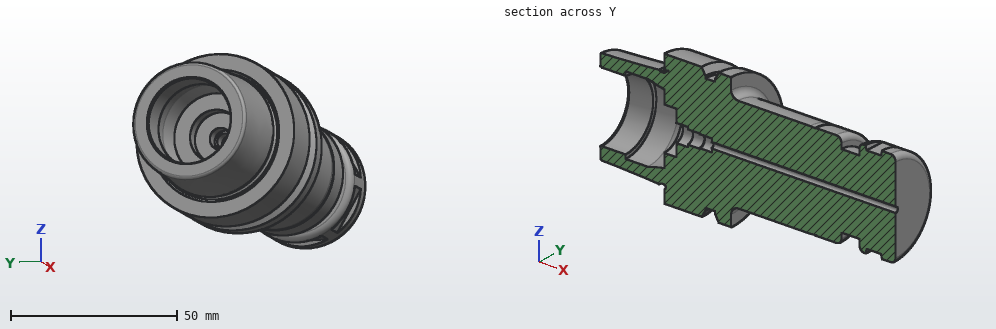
import cadquery as cq
import math

LENGTH = 115.0

SHANK_LENGTH = 25.0
TAPER_END_X = 23.0
TAPER_START_RADIUS = 17.9
TAPER_END_RADIUS = 19.1
SHANK_TIP_ROUND = 0.9

RELIEF_START_X = 23.7
RELIEF_RADIUS = 18.6
RELIEF_ROUND = 0.8
RELIEF_ROUND_X = 24.7
RELIEF_MOUTH_RADIUS = 20.2

FLANGE_RADIUS = 50.0 / 2
FLANGE_END_X = 51.1
GROOVE_START_X = 39.6
GROOVE_END_X = 46.1
GROOVE_RADIUS = 21.6
GROOVE_BEVEL_WIDTH = 1.5
GROOVE_BEVEL_ANGLE = 60.0

BODY_RADIUS = 36.0 / 2
BODY_END_X = 94.0
BODY_ROOT_FILLET = 2.6
BODY_END_ROUND = 2.1
BAND_START_X = 81.8
BAND_END_X = 83.8
BAND_DEPTH = 0.17

NECK_RADIUS = 28.0 / 2
NUT_START_X = 100.7
NUT_RADIUS = 18.0
NUT_ROUND = 2.1

POCKET_COUNT = 6
POCKET_FLAT_RADIUS = 16.5
POCKET_START_X = 103.7
POCKET_WIDTH = 5.4
POCKET_WALL_ANGLE = 15.0
CUTTER_OVERSHOOT = 5.8

BORE_RADIUS = 26.0 / 2
BORE_MOUTH_RADIUS = 13.3
BORE_MOUTH_DEPTH = 0.7
LIP_END_X = 10.0
CHAMBER_RADIUS = 14.5
CHAMBER_TAPER_X = 18.6
CHAMBER_END_X = SHANK_LENGTH

PASSAGE_DIAMETERS = [16.0, 6.5, 5.0, 4.5]
PASSAGE_STEP_LENGTH = 4.6
THROUGH_HOLE_DIAMETER = 2.0


def revolve_about_axis(profile):
    """Close a half profile drawn as (x, radius) and turn it about the X axis."""
    return profile.close().revolve(360, (0, 0, 0), (1, 0, 0))




def shank_and_flange():
    """Taper, relief and grooved flange."""
    groove_foot_start_x = GROOVE_START_X + GROOVE_BEVEL_WIDTH
    groove_foot_end_x = GROOVE_END_X - GROOVE_BEVEL_WIDTH
    bevel_drop = GROOVE_BEVEL_WIDTH * math.tan(math.radians(GROOVE_BEVEL_ANGLE))
    bevel_foot_radius = FLANGE_RADIUS - bevel_drop
    profile = (
        cq.Workplane("XY")
        .lineTo(0, TAPER_START_RADIUS - SHANK_TIP_ROUND)
        .radiusArc((SHANK_TIP_ROUND, TAPER_START_RADIUS), SHANK_TIP_ROUND)
        .lineTo(TAPER_END_X, TAPER_END_RADIUS)
        .lineTo(RELIEF_START_X, RELIEF_RADIUS)
        .lineTo(RELIEF_ROUND_X, RELIEF_RADIUS)
        .radiusArc((RELIEF_ROUND_X + RELIEF_ROUND, RELIEF_RADIUS + RELIEF_ROUND), -RELIEF_ROUND)
        .lineTo(SHANK_LENGTH, RELIEF_MOUTH_RADIUS)
        .lineTo(SHANK_LENGTH, FLANGE_RADIUS)
        .lineTo(GROOVE_START_X, FLANGE_RADIUS)
        .lineTo(groove_foot_start_x, bevel_foot_radius)
        .lineTo(groove_foot_start_x, GROOVE_RADIUS)
        .lineTo(groove_foot_end_x, GROOVE_RADIUS)
        .lineTo(groove_foot_end_x, bevel_foot_radius)
        .lineTo(GROOVE_END_X, FLANGE_RADIUS)
        .lineTo(FLANGE_END_X, FLANGE_RADIUS)
        .lineTo(FLANGE_END_X, 0)
    )
    return revolve_about_axis(profile)


def body_and_neck():
    """Body with its root fillet, shallow band and rounded end, and the neck up to the nut."""
    profile = (
        cq.Workplane("XY")
        .moveTo(FLANGE_END_X, 0)
        .lineTo(FLANGE_END_X, BODY_RADIUS + BODY_ROOT_FILLET)
        .radiusArc((FLANGE_END_X + BODY_ROOT_FILLET, BODY_RADIUS), -BODY_ROOT_FILLET)
        .lineTo(BAND_START_X, BODY_RADIUS)
        .lineTo(BAND_END_X, BODY_RADIUS - BAND_DEPTH)
        .lineTo(BAND_END_X, BODY_RADIUS)
        .lineTo(BODY_END_X - BODY_END_ROUND, BODY_RADIUS)
        .radiusArc((BODY_END_X, BODY_RADIUS - BODY_END_ROUND), BODY_END_ROUND)
        .lineTo(BODY_END_X, NECK_RADIUS)
        .lineTo(NUT_START_X, NECK_RADIUS)
        .lineTo(NUT_START_X, 0)
    )
    return revolve_about_axis(profile)


def wrench_pocket(angle):
    """Cutter for a flat-bottomed pocket with leaning end walls, turned about the axis by angle."""
    top_radius = NUT_RADIUS + CUTTER_OVERSHOOT
    lean = (top_radius - POCKET_FLAT_RADIUS) * math.tan(math.radians(POCKET_WALL_ANGLE))
    pocket_end_x = POCKET_START_X + POCKET_WIDTH
    cutter = (
        cq.Workplane("XZ")
        .moveTo(POCKET_START_X, POCKET_FLAT_RADIUS)
        .lineTo(pocket_end_x, POCKET_FLAT_RADIUS)
        .lineTo(pocket_end_x + lean, top_radius)
        .lineTo(POCKET_START_X - lean, top_radius)
        .close()
        .extrude(NUT_RADIUS, both=True)
    )
    return cutter.rotate((0, 0, 0), (1, 0, 0), angle)


def clamping_nut():
    """Nut with both rims rounded and a ring of wrench pockets."""
    profile = (
        cq.Workplane("XY")
        .moveTo(NUT_START_X, 0)
        .lineTo(NUT_START_X, NUT_RADIUS - NUT_ROUND)
        .radiusArc((NUT_START_X + NUT_ROUND, NUT_RADIUS), NUT_ROUND)
        .lineTo(LENGTH - NUT_ROUND, NUT_RADIUS)
        .radiusArc((LENGTH, NUT_RADIUS - NUT_ROUND), NUT_ROUND)
        .lineTo(LENGTH, 0)
    )
    nut = revolve_about_axis(profile)
    for index in range(POCKET_COUNT):
        nut = nut.cut(wrench_pocket(index * 360 / POCKET_COUNT))
    return nut


def shank_bore():
    """Chamfered bore mouth, lip and the wider chamber that narrows to its floor."""
    profile = (
        cq.Workplane("XY")
        .lineTo(0, BORE_MOUTH_RADIUS)
        .lineTo(BORE_MOUTH_DEPTH, BORE_RADIUS)
        .lineTo(LIP_END_X, BORE_RADIUS)
        .lineTo(LIP_END_X, CHAMBER_RADIUS)
        .lineTo(CHAMBER_TAPER_X, CHAMBER_RADIUS)
        .lineTo(CHAMBER_END_X, BORE_RADIUS)
        .lineTo(CHAMBER_END_X, 0)
    )
    return revolve_about_axis(profile)


def passage():
    """Narrowing steps from the chamber floor and the fine hole out through the nut end."""
    hole = cq.Workplane("YZ").circle(THROUGH_HOLE_DIAMETER / 2).extrude(LENGTH)
    for index, diameter in enumerate(PASSAGE_DIAMETERS):
        start_x = CHAMBER_END_X + index * PASSAGE_STEP_LENGTH
        step = cq.Workplane("YZ", origin=(start_x, 0, 0)).circle(diameter / 2).extrude(PASSAGE_STEP_LENGTH)
        hole = hole.union(step)
    return hole


outside = shank_and_flange().union(body_and_neck()).union(clamping_nut())
result = outside.cut(shank_bore()).cut(passage())